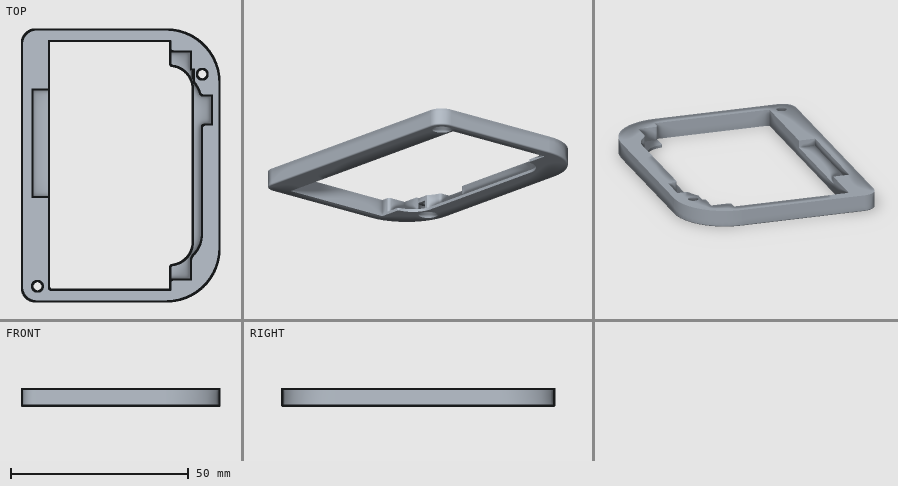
import cadquery as cq
import math

LENGTH_X = 55.6
LENGTH_Y = 76.5
HEIGHT = 4.8
LEFT_CORNER_RADIUS = 4.0
RIGHT_CORNER_RADIUS = 15.0
BOTTOM_EDGE_ROUND = 0.4
HALF_X = LENGTH_X / 2
HALF_Y = LENGTH_Y / 2

WINDOW_LEFT = -20.1
WINDOW_RIGHT = 13.9
WINDOW_HALF_Y = 34.9

LIP_THICKNESS = 0.8
LIP_EDGE_X = 20.22
LIP_HALF_Y = 28.0
LIP_ARC_RADIUS = 6.5

WALL_ROUND = 0.8
SMALL_ROUND = 0.6

POCKET_HALF_Y = 32.07
POCKET_END_X = 19.7
POCKET_SIDE_X = 22.8
NOTCH_X = 20.58
NOTCH_TOP_Y = 26.93
NOTCH_BOTTOM_Y = 23.4
RECESS_X = 25.6
RECESS_TOP_Y = 19.7
RECESS_BOTTOM_Y = 11.45
UPPER_CURVE_END_X = 22.45
UPPER_CURVE_BULGE = 0.25
LOWER_CURVE_START_Y = -19.4
LOWER_CURVE_RADIUS = 8.0
LOWER_CURVE_ANGLE = math.radians(45)

SLOT_LEFT = -24.85
SLOT_TOP_Y = 21.3
SLOT_BOTTOM_Y = -8.9
SLOT_DEPTH = 2.1

HOLE_DIAMETER = 2.9
COUNTERBORE_DIAMETER = 5.4
COUNTERBORE_DEPTH = 3.4
HOLE_CENTRES = [(22.9, 25.65), (-23.4, -33.95)]


def box_between(x_min, x_max, y_min, y_max, z_min, z_max):
    size = (x_max - x_min, y_max - y_min, z_max - z_min)
    return cq.Workplane("XY").box(*size, centered=False).translate((x_min, y_min, z_min))


def make_body():
    body = box_between(-HALF_X, HALF_X, -HALF_Y, HALF_Y, 0, HEIGHT)
    body = body.edges("|Z and <X").fillet(LEFT_CORNER_RADIUS)
    body = body.edges("|Z and >X").fillet(RIGHT_CORNER_RADIUS)
    return body.faces("<Z").edges().fillet(BOTTOM_EDGE_ROUND)


def make_window():
    return box_between(WINDOW_LEFT, WINDOW_RIGHT, -WINDOW_HALF_Y, WINDOW_HALF_Y, 0, HEIGHT)


def make_lip_opening():
    """Rounded opening that leaves the lip standing inside the pocket."""
    opening = box_between(0, LIP_EDGE_X, -LIP_HALF_Y, LIP_HALF_Y, 0, HEIGHT)
    return opening.edges("|Z and >X").fillet(LIP_ARC_RADIUS)


def make_pocket():
    """Stepped pocket above the lip, open towards the window."""
    arc_x = POCKET_SIDE_X - LOWER_CURVE_RADIUS

    def on_lower_curve(angle):
        x = arc_x + LOWER_CURVE_RADIUS * math.cos(angle)
        y = LOWER_CURVE_START_Y - LOWER_CURVE_RADIUS * math.sin(angle)
        return x, y

    lower_mid = on_lower_curve(LOWER_CURVE_ANGLE / 2)
    lower_end = on_lower_curve(LOWER_CURVE_ANGLE)
    blend_radius = (lower_end[0] - POCKET_END_X) / (1 - math.cos(LOWER_CURVE_ANGLE))
    blend_end = (POCKET_END_X, lower_end[1] - blend_radius * math.sin(LOWER_CURVE_ANGLE))

    chord_x = UPPER_CURVE_END_X - NOTCH_X
    chord_y = RECESS_TOP_Y - NOTCH_BOTTOM_Y
    chord = math.hypot(chord_x, chord_y)
    upper_mid = (
        (NOTCH_X + UPPER_CURVE_END_X) / 2 - UPPER_CURVE_BULGE * chord_y / chord,
        (NOTCH_BOTTOM_Y + RECESS_TOP_Y) / 2 + UPPER_CURVE_BULGE * chord_x / chord,
    )

    outline = (
        cq.Workplane("XY", origin=(0, 0, LIP_THICKNESS))
        .moveTo(0, POCKET_HALF_Y)
        .lineTo(POCKET_END_X, POCKET_HALF_Y)
        .lineTo(POCKET_END_X, NOTCH_TOP_Y)
        .lineTo(NOTCH_X, NOTCH_TOP_Y)
        .lineTo(NOTCH_X, NOTCH_BOTTOM_Y)
        .threePointArc(upper_mid, (UPPER_CURVE_END_X, RECESS_TOP_Y))
        .lineTo(RECESS_X, RECESS_TOP_Y)
        .lineTo(RECESS_X, RECESS_BOTTOM_Y)
        .lineTo(POCKET_SIDE_X, RECESS_BOTTOM_Y)
        .lineTo(POCKET_SIDE_X, LOWER_CURVE_START_Y)
        .threePointArc(lower_mid, lower_end)
        .tangentArcPoint(blend_end, relative=False)
        .lineTo(POCKET_END_X, -POCKET_HALF_Y)
        .lineTo(0, -POCKET_HALF_Y)
        .close()
    )
    return outline.extrude(HEIGHT - LIP_THICKNESS)


def make_slot():
    return box_between(SLOT_LEFT, WINDOW_LEFT, SLOT_BOTTOM_Y, SLOT_TOP_Y, HEIGHT - SLOT_DEPTH, HEIGHT)


def make_screw_holes():
    holes = cq.Workplane("XY").pushPoints(HOLE_CENTRES).circle(HOLE_DIAMETER / 2).extrude(HEIGHT)
    heads = cq.Workplane("XY").pushPoints(HOLE_CENTRES).circle(COUNTERBORE_DIAMETER / 2)
    return holes.union(heads.extrude(COUNTERBORE_DEPTH))


def round_edge_at(part, x, y, z, radius=WALL_ROUND):
    """Round the vertical edge whose midpoint is nearest to the given point."""
    return part.edges("|Z").edges(cq.selectors.NearestToPointSelector((x, y, z))).fillet(radius)


frame = make_body().cut(make_window()).cut(make_lip_opening()).cut(make_pocket()).cut(make_slot())
frame = round_edge_at(frame, WINDOW_LEFT, -WINDOW_HALF_Y, HEIGHT / 2, SMALL_ROUND)
pocket_mid_z = (LIP_THICKNESS + HEIGHT) / 2
for side in (1, -1):
    frame = round_edge_at(frame, WINDOW_RIGHT, side * POCKET_HALF_Y, pocket_mid_z)
    frame = round_edge_at(frame, WINDOW_RIGHT, side * LIP_HALF_Y, LIP_THICKNESS / 2, SMALL_ROUND)
frame = round_edge_at(frame, POCKET_SIDE_X, RECESS_BOTTOM_Y, pocket_mid_z)
frame = round_edge_at(frame, UPPER_CURVE_END_X, RECESS_TOP_Y, pocket_mid_z)
result = frame.cut(make_screw_holes())